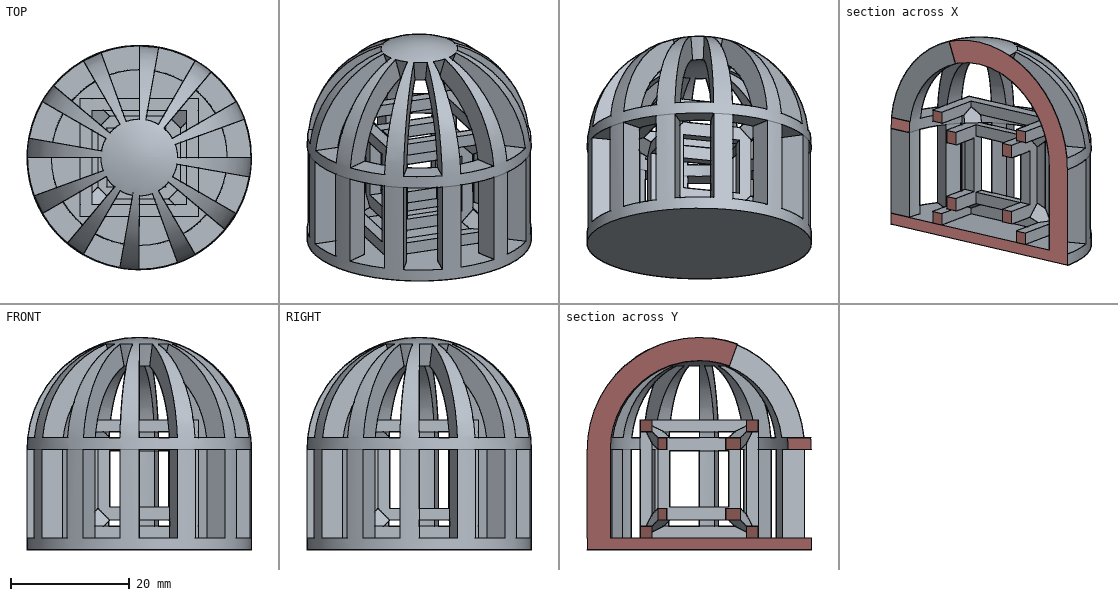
import cadquery as cq
import math

OUTER_RADIUS = 19.0
INNER_RADIUS = 15.0
FLOOR_THICKNESS = 2.0
RIM_HEIGHT = 2.0
DOME_CENTER_Z = 17.0
CAP_POLAR_ANGLE = 20.0
WINDOW_COUNT = 12
WINDOW_PITCH = 360 / WINDOW_COUNT
WINDOW_ANGLE = 20.0

OUTER_CUBE = 20.0
INNER_CUBE = 14.0
CUBE_BAR = 2.0
INNER_Y_OPENING_HEIGHT = 9.45
INNER_Z_OPENING_SHIFT = -0.5
STRUT_LEG = 2.0
CUBE_CENTER_Z = FLOOR_THICKNESS + OUTER_CUBE / 2


def window_wedges(bottom_z, height):
    """One wedge-shaped cutter per window, each with its tip on the Z axis."""
    reach = 2 * OUTER_RADIUS
    angle = math.radians(WINDOW_ANGLE)
    wedge = (
        cq.Workplane("XY", origin=(0, 0, bottom_z))
        .polyline([(0, 0), (reach, 0), (reach * math.cos(angle), reach * math.sin(angle))])
        .close()
        .extrude(height)
    )
    return [wedge.rotate((0, 0, 0), (0, 0, 1), i * WINDOW_PITCH) for i in range(WINDOW_COUNT)]


def hemisphere(radius):
    """Upper half of a ball about the dome centre."""
    return cq.Workplane(
        cq.Solid.makeSphere(radius, cq.Vector(0, 0, DOME_CENTER_Z), cq.Vector(0, 0, 1), 0, 90, 360)
    )


def make_wall():
    """Flat floor and the straight ribs that stand on it."""
    wall_height = DOME_CENTER_Z - FLOOR_THICKNESS
    wall = (
        cq.Workplane("XY", origin=(0, 0, FLOOR_THICKNESS))
        .circle(OUTER_RADIUS)
        .circle(INNER_RADIUS)
        .extrude(wall_height)
    )
    for wedge in window_wedges(FLOOR_THICKNESS, wall_height):
        wall = wall.cut(wedge)
    floor = cq.Workplane("XY").circle(OUTER_RADIUS).extrude(FLOOR_THICKNESS)
    return floor.union(wall)


def make_dome():
    """Dome with a solid rim and cap; the edge of the cap is a cone from the dome centre."""
    dome = hemisphere(OUTER_RADIUS).cut(hemisphere(INNER_RADIUS))
    cone_radius = OUTER_RADIUS * math.tan(math.radians(CAP_POLAR_ANGLE))
    cap_cone = cq.Workplane(
        cq.Solid.makeCone(0, cone_radius, OUTER_RADIUS, cq.Vector(0, 0, DOME_CENTER_Z))
    )
    for wedge in window_wedges(DOME_CENTER_Z + RIM_HEIGHT, OUTER_RADIUS - RIM_HEIGHT):
        dome = dome.cut(wedge.cut(cap_cone))
    return dome


def make_cage():
    return make_wall().union(make_dome())


def outer_frame():
    """Open cube about the origin: only the bars along its twelve edges."""
    opening = OUTER_CUBE - 2 * CUBE_BAR
    return (
        cq.Workplane("XY")
        .box(OUTER_CUBE, OUTER_CUBE, OUTER_CUBE)
        .cut(cq.Workplane("XY").box(OUTER_CUBE, opening, opening))
        .cut(cq.Workplane("XY").box(opening, OUTER_CUBE, opening))
        .cut(cq.Workplane("XY").box(opening, opening, OUTER_CUBE))
    )


def inner_frame():
    """Smaller open cube; its Y opening is lower than it is wide and its Z opening is off centre."""
    opening = INNER_CUBE - 2 * CUBE_BAR
    along_x = cq.Workplane("XY").box(INNER_CUBE, opening, opening)
    along_y = cq.Workplane("XY").box(opening, INNER_CUBE, INNER_Y_OPENING_HEIGHT)
    along_z = cq.Workplane("XY").box(opening, opening, INNER_CUBE)
    return (
        cq.Workplane("XY")
        .box(INNER_CUBE, INNER_CUBE, INNER_CUBE)
        .cut(along_x)
        .cut(along_y)
        .cut(along_z.translate((INNER_Z_OPENING_SHIFT, 0, 0)))
    )


def corner_strut(sx, sy, sz):
    """Triangular prism along the cube diagonal, from the inner frame to the outer one."""
    corner = INNER_CUBE / 2
    back = corner - STRUT_LEG
    start = corner - STRUT_LEG / 3
    end = (OUTER_CUBE - CUBE_BAR) / 2
    reach = end - start
    triangle = cq.Wire.makePolygon(
        [
            cq.Vector(sx * back, sy * corner, sz * corner),
            cq.Vector(sx * corner, sy * back, sz * corner),
            cq.Vector(sx * corner, sy * corner, sz * back),
        ],
        close=True,
    )
    along = cq.Vector(sx * reach, sy * reach, sz * reach)
    return cq.Workplane(cq.Solid.extrudeLinear(triangle, [], along))


def make_nested_cubes():
    cubes = outer_frame().union(inner_frame())
    for sx in (-1, 1):
        for sy in (-1, 1):
            for sz in (-1, 1):
                cubes = cubes.union(corner_strut(sx, sy, sz))
    return cubes.translate((0, 0, CUBE_CENTER_Z))


cage = make_cage()
nested_cubes = make_nested_cubes()

result = cq.Compound.makeCompound([*cage.solids().vals(), *nested_cubes.solids().vals()])